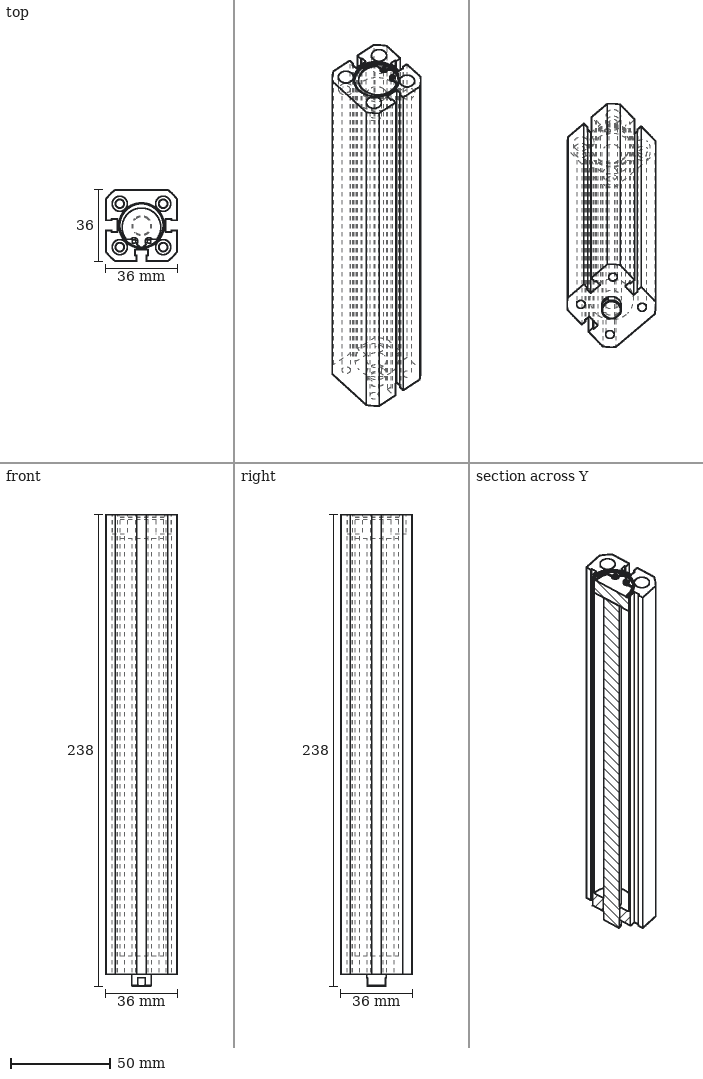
import cadquery as cq

OVERALL_LENGTH = 238
WIDTH = 36.0
HOUSING_LENGTH = 232.0
CORNER_RADIUS = 22.4

SLOT_MOUTH_WIDTH = 5.0
SLOT_INNER_WIDTH = 6.5
SLOT_LIP = 2.9
SLOT_FLOOR = 12.1
SLOT_ANGLES = (180, 270, 0)

HOLE_PITCH = 22.0
HOLE_DIAMETER = 4.3
COUNTERBORE_DIAMETER = 7.5
COUNTERBORE_DEPTH = 9.5

BORE_RADIUS = 11.0
MOUTH_RADIUS = 11.5
MOUTH_DEPTH = 1.0
END_WALL = 9.5

COVER_THICKNESS = 9.5

RING_DEPTH = 1.5
RING_THICKNESS = 1.0
RING_INNER_RADIUS = 9.8
RING_INNER_OFFSET = 1.0
RING_END_Y = -7.0
LUG_X = 3.8
LUG_Y = -8.0
LUG_RADIUS = 2.0
EYE_DIAMETER = 2.0
GAP_WIDTH = 1.5

ROD_DIAMETER = 10.0
ROD_CHAMFER = 0.5
FLAT_DISTANCE = 9.3
FLAT_LENGTH = 4.3

RING_TOP = HOUSING_LENGTH - RING_DEPTH
COVER_TOP = RING_TOP - RING_THICKNESS
COVER_BOTTOM = COVER_TOP - COVER_THICKNESS
ROD_TIP = HOUSING_LENGTH - OVERALL_LENGTH


def cylinder(radius, bottom, top, x=0, y=0):
    return cq.Workplane("XY", origin=(x, y, bottom)).circle(radius).extrude(top - bottom)


def make_slot():
    """T-slot cutter that opens towards +X."""
    side = WIDTH / 2
    centered = (False, True, False)
    chamber_depth = side - SLOT_LIP - SLOT_FLOOR
    chamber = cq.Workplane("XY").box(chamber_depth, SLOT_INNER_WIDTH, HOUSING_LENGTH, centered=centered)
    mouth = cq.Workplane("XY").box(side - SLOT_FLOOR, SLOT_MOUTH_WIDTH, HOUSING_LENGTH, centered=centered)
    return chamber.union(mouth).translate((SLOT_FLOOR, 0, 0))


def make_housing():
    body = cq.Workplane("XY").rect(WIDTH, WIDTH).extrude(HOUSING_LENGTH)
    body = body.intersect(cylinder(CORNER_RADIUS, 0, HOUSING_LENGTH))
    slot = make_slot()
    for angle in SLOT_ANGLES:
        body = body.cut(slot.rotate((0, 0, 0), (0, 0, 1), angle))
    body = (
        body.faces(">Z")
        .workplane(origin=(0, 0, HOUSING_LENGTH))
        .rect(HOLE_PITCH, HOLE_PITCH, forConstruction=True)
        .vertices()
        .cboreHole(HOLE_DIAMETER, COUNTERBORE_DIAMETER, COUNTERBORE_DEPTH)
    )
    body = body.cut(cylinder(BORE_RADIUS, END_WALL, HOUSING_LENGTH))
    body = body.cut(cylinder(MOUTH_RADIUS, HOUSING_LENGTH - MOUTH_DEPTH, HOUSING_LENGTH))
    return body.cut(cylinder(ROD_DIAMETER / 2, 0, END_WALL))


def make_cover():
    return cylinder(BORE_RADIUS, COVER_BOTTOM, COVER_TOP)


def make_ring_gap():
    """Gap between the ring's ends, which narrows towards the bore."""
    return (
        cq.Workplane("XY", origin=(0, 0, COVER_TOP))
        .moveTo(-GAP_WIDTH / 2, -BORE_RADIUS)
        .lineTo(GAP_WIDTH / 2, -BORE_RADIUS)
        .lineTo(LUG_X, LUG_Y)
        .lineTo(LUG_X, RING_END_Y)
        .lineTo(-LUG_X, RING_END_Y)
        .lineTo(-LUG_X, LUG_Y)
        .close()
        .extrude(RING_THICKNESS)
    )


def make_ring():
    disc = cylinder(BORE_RADIUS, COVER_TOP, RING_TOP)
    opening = cylinder(RING_INNER_RADIUS, COVER_TOP, RING_TOP, y=-RING_INNER_OFFSET)
    ring_ends = (
        cq.Workplane("XY", origin=(0, RING_END_Y - BORE_RADIUS / 2, COVER_TOP))
        .rect(2 * BORE_RADIUS, BORE_RADIUS)
        .extrude(RING_THICKNESS)
    )
    ring = disc.cut(opening.cut(ring_ends)).cut(make_ring_gap())
    for x in (-LUG_X, LUG_X):
        ring = ring.union(cylinder(LUG_RADIUS, COVER_TOP, RING_TOP, x, LUG_Y))
        ring = ring.cut(cylinder(EYE_DIAMETER / 2, COVER_TOP, RING_TOP, x, LUG_Y))
    return ring


def make_rod():
    rod = cylinder(ROD_DIAMETER / 2, ROD_TIP, COVER_BOTTOM)
    rod = rod.faces("<Z").chamfer(ROD_CHAMFER)
    flat_cutter = cq.Workplane("XY").box(
        ROD_DIAMETER, ROD_DIAMETER, FLAT_LENGTH, centered=(True, True, False)
    )
    cutter_y = (FLAT_DISTANCE + ROD_DIAMETER) / 2
    for y in (-cutter_y, cutter_y):
        rod = rod.cut(flat_cutter.translate((0, y, ROD_TIP)))
    return rod


housing = make_housing()
cover = make_cover()
ring = make_ring()
rod = make_rod()

result = cq.Compound.makeCompound([body.solids().val() for body in (housing, cover, ring, rod)])